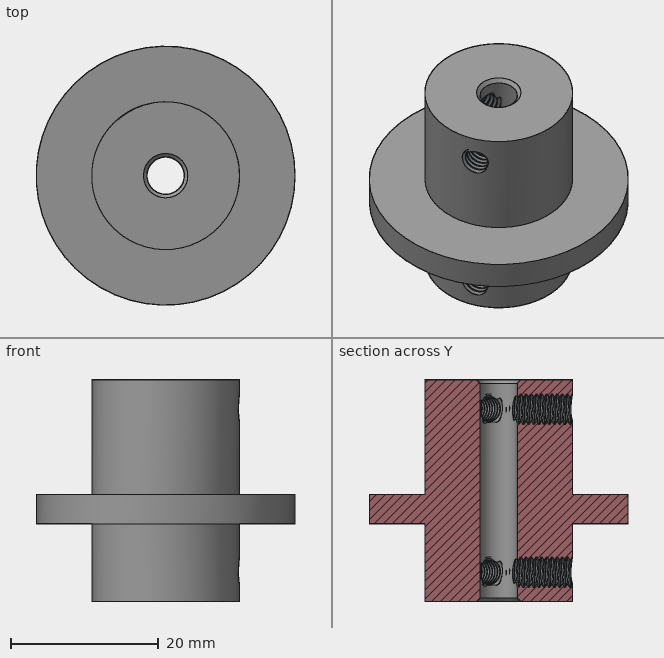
import cadquery as cq
import math

hub_diameter = 20.0
hub_height = 30.0
flange_diameter = 35.0
flange_thickness = 4.0
flange_bottom = 10.5

bore_diameter = 5.0
bore_mouth_diameter = 6.0
bore_chamfer = (bore_mouth_diameter - bore_diameter) / 2

screw_end_distance = 4.0
first_screw_angle = 0.0
second_screw_angle = 120.0
thread_minor_diameter = 3.32
thread_major_diameter = 4.1
thread_pitch = 0.7
thread_root_width = 0.088
thread_flank_angle = 30.0
thread_overlap = 0.07

thread_start = 1.22
first_thread_phase = -15.0
second_thread_phase = first_thread_phase + 180.0

screw_overrun = 0.7
screw_reach = hub_diameter / 2 + screw_overrun


def make_hub():
    hub = cq.Workplane("XY").circle(hub_diameter / 2).extrude(hub_height)
    flange = (
        cq.Workplane("XY")
        .workplane(offset=flange_bottom)
        .circle(flange_diameter / 2)
        .extrude(flange_thickness)
    )
    return hub.union(flange)


def make_bore():
    bore_radius = bore_diameter / 2
    mouth_radius = bore_mouth_diameter / 2
    half_section = [
        (0, 0),
        (mouth_radius, 0),
        (bore_radius, bore_chamfer),
        (bore_radius, hub_height - bore_chamfer),
        (mouth_radius, hub_height),
        (0, hub_height),
    ]
    return cq.Workplane("XZ").polyline(half_section).close().revolve(360, (0, 0), (0, 1))


def make_thread_groove():
    """Helical V groove around the Z axis, slightly overlapping the tapped hole's core."""
    inner_radius = thread_minor_diameter / 2 - thread_overlap
    outer_radius = thread_major_diameter / 2
    half_root = thread_root_width / 2
    flank_rise = (outer_radius - inner_radius) * math.tan(math.radians(thread_flank_angle))
    half_mouth = half_root + flank_rise
    length = screw_reach - thread_start
    helix = cq.Wire.makeHelix(thread_pitch, length, inner_radius)
    return (
        cq.Workplane("XZ")
        .polyline(
            [
                (inner_radius, -half_mouth),
                (outer_radius, -half_root),
                (outer_radius, half_root),
                (inner_radius, half_mouth),
            ]
        )
        .close()
        .sweep(cq.Workplane(obj=helix), isFrenet=True)
        .translate((0, 0, thread_start))
    )


def make_screw_core():
    return cq.Workplane("XY").circle(thread_minor_diameter / 2).extrude(screw_reach)


def place_screw_cutter(cutter, phase, angle, height):
    """Turn a cutter about its own Z axis, then lay it along a radius at the given height."""
    turned = cutter.rotate((0, 0, 0), (0, 0, 1), phase)
    radial = turned.rotate((0, 0, 0), (0, 1, 0), 90)
    return radial.rotate((0, 0, 0), (0, 0, 1), angle).translate((0, 0, height))


def cut_screw_hole(body, phase, angle, height):
    for cutter in (thread_groove, screw_core):
        body = body.cut(place_screw_cutter(cutter, phase, angle, height))
    return body


screw_core = make_screw_core()
thread_groove = make_thread_groove()
result = make_hub().cut(make_bore())
for screw_height in (screw_end_distance, hub_height - screw_end_distance):
    result = cut_screw_hole(result, first_thread_phase, first_screw_angle, screw_height)
    result = cut_screw_hole(result, second_thread_phase, second_screw_angle, screw_height)